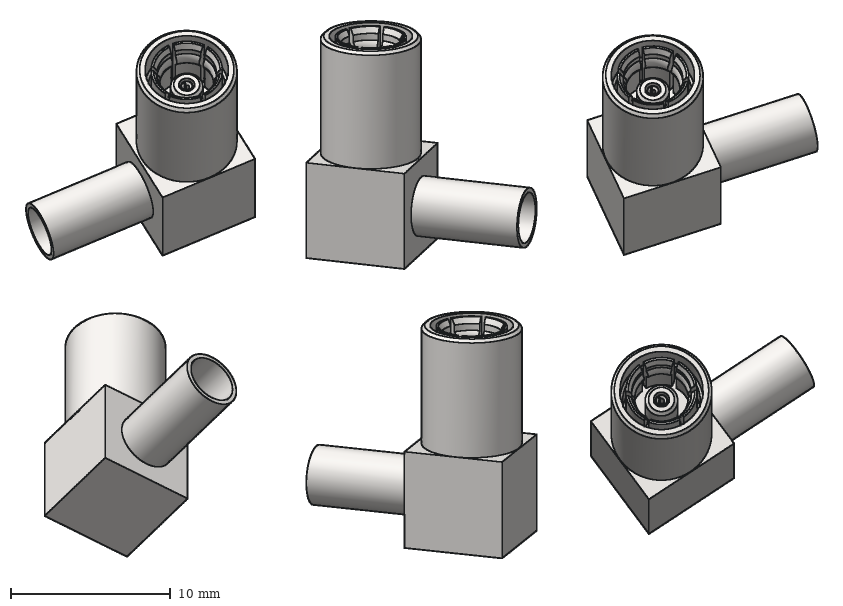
import cadquery as cq


block_width = 6.35
block_length = 6.5
block_height = 6.3
total_height = 14.0
total_length = 13.5

shell_radius = 3.15
shell_chamfer = 0.2
mouth_radius = 2.6
bore_radius = 2.43
mouth_depth = 1.9
bore_bevel = mouth_radius - bore_radius

finger_count = 6
finger_outer_radius = 2.23
finger_rim_radius = 2.09
finger_inner_radius = 1.87
finger_top_depth = 0.07
finger_lead_in_depth = 0.46
bead_radius = 1.67
bead_start_depth = 0.9
bead_end_depth = 1.9
slot_width = 0.3
socket_floor_depth = 4.0

insulator_radius = 1.02
insulator_chamfer = 0.21
insulator_top_depth = 1.62
insulator_bore_radius = 0.49
contact_radius = 0.46
contact_top_depth = 1.75
contact_taper_length = 0.6
contact_rim_radius = 0.36
contact_mouth_radius = 0.34
contact_bore_radius = 0.17
contact_cone_depth = 0.15
contact_bore_depth = 1.0
contact_slit_width = 0.08

tail_radius = 1.9
tail_bore_radius = 1.6
tail_axis_z = block_height / 2

ferrule_radius = 1.3
ferrule_length = 1.2
ferrule_taper_length = 0.7
ferrule_tip_radius = 1.1
ferrule_bore_radius = 0.85
ferrule_bore_bevel = 0.04

block_back_y = block_width / 2
block_front_y = block_back_y - block_length
tail_end_y = block_back_y - total_length
tail_length = block_front_y - tail_end_y
slot_pitch = 360 / finger_count
slot_count = finger_count // 2
socket_floor_z = total_height - socket_floor_depth


def cylinder_z(radius, bottom_depth, top_depth):
    """Cylinder on the socket axis between two depths below the socket rim."""
    plane = cq.Workplane("XY").workplane(offset=total_height - bottom_depth)
    return plane.circle(radius).extrude(bottom_depth - top_depth)


def revolve_z(outline):
    """Turn a closed outline in the XZ plane about the socket axis."""
    return outline.close().revolve(360, (0, 0, 0), (0, 1, 0))


def make_block():
    block = cq.Workplane("XY").box(block_width, block_length, block_height, centered=(True, True, False))
    return block.translate((0, (block_back_y + block_front_y) / 2, 0))


def make_shell():
    """Solid socket body with its bevelled rim."""
    body = cylinder_z(shell_radius, total_height - block_height, 0)
    return body.faces(">Z").edges().chamfer(shell_chamfer)


def make_socket_bore():
    """Wide mouth that narrows through a bevel to the bore around the fingers."""
    mouth = cylinder_z(mouth_radius, mouth_depth, 0)
    mouth = mouth.faces("<Z").edges().chamfer(bore_bevel)
    return mouth.union(cylinder_z(bore_radius, socket_floor_depth, 0))


def make_fingers():
    """Slotted ring with a conical lead-in and a rounded inner bead."""
    z = total_height
    bead_middle_depth = (bead_start_depth + bead_end_depth) / 2
    outline = (
        cq.Workplane("XZ")
        .moveTo(finger_outer_radius, z - socket_floor_depth)
        .lineTo(finger_outer_radius, z - finger_top_depth)
        .lineTo(finger_rim_radius, z - finger_top_depth)
        .lineTo(finger_inner_radius, z - finger_lead_in_depth)
        .lineTo(finger_inner_radius, z - bead_start_depth)
        .threePointArc((bead_radius, z - bead_middle_depth), (finger_inner_radius, z - bead_end_depth))
        .lineTo(finger_inner_radius, z - socket_floor_depth)
    )
    ring = revolve_z(outline)
    slot = cq.Workplane("XY").workplane(offset=socket_floor_z).rect(2 * bore_radius, slot_width)
    slot = slot.extrude(socket_floor_depth)
    for index in range(slot_count):
        ring = ring.cut(slot.rotate((0, 0, 0), (0, 0, 1), index * slot_pitch))
    return ring


def make_insulator():
    """Bevelled hollow post around the centre contact."""
    post = cylinder_z(insulator_radius, socket_floor_depth, insulator_top_depth)
    post = post.faces(">Z").edges().chamfer(insulator_chamfer)
    return post.cut(cylinder_z(insulator_bore_radius, socket_floor_depth, insulator_top_depth))


def make_contact():
    """Tapered centre contact with a countersunk bore and a slit across its tip."""
    top_z = total_height - contact_top_depth
    bore_floor_z = top_z - contact_bore_depth
    outline = (
        cq.Workplane("XZ")
        .moveTo(0, socket_floor_z)
        .lineTo(contact_radius, socket_floor_z)
        .lineTo(contact_radius, top_z - contact_taper_length)
        .lineTo(contact_rim_radius, top_z)
        .lineTo(contact_mouth_radius, top_z)
        .lineTo(contact_bore_radius, top_z - contact_cone_depth)
        .lineTo(contact_bore_radius, bore_floor_z)
        .lineTo(0, bore_floor_z)
    )
    slit = cq.Workplane("XY").workplane(offset=bore_floor_z)
    slit = slit.rect(2 * insulator_bore_radius, contact_slit_width).extrude(contact_bore_depth)
    return revolve_z(outline).cut(slit)


def tail_cylinder(radius, length):
    """Cylinder on the tail axis, from the block face outwards."""
    plane = cq.Workplane("XZ", origin=(0, block_front_y, tail_axis_z))
    return plane.circle(radius).extrude(length)


def make_tail():
    """Crimp tube with a tapered ferrule inside it."""
    tube = tail_cylinder(tail_radius, tail_length).cut(tail_cylinder(tail_bore_radius, tail_length))
    ferrule = tail_cylinder(ferrule_radius, ferrule_length)
    ferrule = ferrule.faces("<Y").edges().chamfer(ferrule_taper_length, ferrule_radius - ferrule_tip_radius)
    ferrule = ferrule.cut(tail_cylinder(ferrule_bore_radius, ferrule_length))
    bore_edge = ferrule.faces("<Y").edges(cq.selectors.RadiusNthSelector(0))
    ferrule = bore_edge.chamfer(ferrule_bore_bevel)
    return tube.union(ferrule)


body = make_block().union(make_shell())
body = body.cut(make_socket_bore())
body = body.union(make_fingers()).union(make_insulator()).union(make_contact())
result = body.union(make_tail())